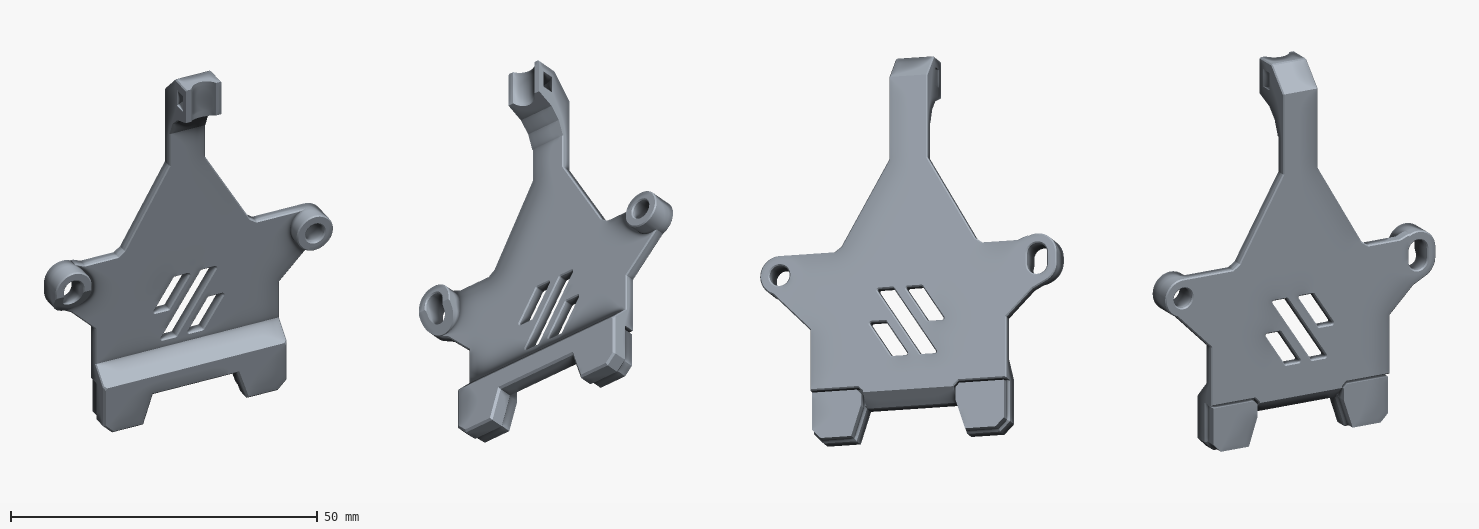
import cadquery as cq
import math


plate_thickness = 1.9
edge_chamfer = 0.2
half_width = 16.7

side_top_z = 18.7
ear_top_z = 31.45
shoulder_y = 12.6
shoulder_break_y = 11.4
shoulder_break_z = 32.3
arm_half_width = 3.25
arm_base_z = 46.4

ear_spacing = 43.84
ear_y = ear_spacing / 2
ear_radius = 3.3
ear_z = ear_top_z - ear_radius
ear_height = 4.6
hole_diameter = 3.4
slot_shift = 0.9
heel_y = 21.1
ramp_foot_z = 23.6
ramp_angle = 60
ear_blend_start_y = 18.6
ear_blend_mid_y = 19.8
ear_blend_mid_z = 31.95
ear_blend_end_y = 20.4
ear_blend_end_z = 32.1

part_height = 64.23
head_depth = 8.0
head_bevel = 4.0
head_bottom_z = 52.5
head_lower_points = [(head_depth, 58.0), (4.8, 56.8), (2.95, 55.0), (plate_thickness, head_bottom_z)]
cable_radius = 2.5
cable_x = 9.1
tie_inner_radius = 3.95
tie_outer_radius = 5.45
tie_bottom_z = 59.55
tie_top_z = 62.55

foot_depth = 5.0
foot_chamfer = 0.35
foot_corner = 1.65
foot_bottom_inner_y = 9.4
neck_y = 7.65
root_z = 5.35
ledge_z = 8.5
ledge_bevel = 0.9
block_top_z = ledge_z + 3.5
seat_chamfer = 0.39
pad_gap = seat_chamfer

mark_z = 19.1
mark_y = 0.25
vent_width = 2.9
vent_lean = 0.656
long_vent_height = 11.4
short_vent_height = 5.9
vent_pitch = 4.9
vent_corner = 0.25


def extrude_yz(points, x_start, depth):
    return cq.Workplane("YZ", origin=(x_start, 0, 0)).polyline(points).close().extrude(depth)


def extrude_xz(points, y_start, y_end):
    return cq.Workplane("XZ", origin=(0, y_end, 0)).polyline(points).close().extrude(y_end - y_start)


def mirror_y(points):
    return [(-y, z) for y, z in reversed(points)]


def ear_shape(y, radius, shift, x_start, depth, taper=0):
    """Round (shift 0) or vertical obround prism centred on an ear."""
    plane = cq.Workplane("YZ", origin=(x_start, y, ear_z))
    if shift == 0:
        return plane.circle(radius).extrude(depth, taper=taper)
    return plane.slot2D(2 * (radius + shift), 2 * radius, 90).extrude(depth, taper=taper)


def vent(center_y, bottom_z, height):
    """Leaning parallelogram cutter; center_y is where its axis crosses mark_z."""
    def axis_y(z):
        return center_y + vent_lean * (z - mark_z)

    half = vent_width / 2
    top_z = bottom_z + height
    points = [
        (axis_y(bottom_z) - half, bottom_z),
        (axis_y(bottom_z) + half, bottom_z),
        (axis_y(top_z) + half, top_z),
        (axis_y(top_z) - half, top_z),
    ]
    return extrude_yz(points, 0, plate_thickness).edges("|X").fillet(vent_corner)


def tangent_point(y, z):
    """Outer point where a line from (y, z) touches the lower arc of the slotted ear."""
    to_center_y = -ear_y - y
    to_center_z = ear_z - slot_shift - z
    distance = math.hypot(to_center_y, to_center_z)
    direction = math.atan2(to_center_z, to_center_y) + math.asin(ear_radius / distance)
    length = math.sqrt(distance**2 - ear_radius**2)
    return y + length * math.cos(direction), z + length * math.sin(direction)


def make_plate():
    ear_line_offset = side_top_z - half_width
    flank_end_y = (ear_y + ear_z - ear_line_offset) / 2
    half = [
        (neck_y, ledge_z - ledge_bevel),
        (neck_y + ledge_bevel, ledge_z),
        (half_width, ledge_z),
        (half_width, side_top_z),
    ]
    top = [
        (shoulder_y, ear_top_z),
        (shoulder_break_y, shoulder_break_z),
        (arm_half_width, arm_base_z),
        (arm_half_width, part_height - head_bevel),
    ]
    round_ear = [
        (flank_end_y, flank_end_y + ear_line_offset),
        (ear_y, ear_z),
        (ear_y, ear_top_z),
    ]
    slot_ear = [
        (-ear_blend_start_y, ear_top_z),
        (-ear_blend_mid_y, ear_blend_mid_z),
        (-ear_blend_end_y, ear_blend_end_z),
        (-ear_y, ear_z),
        tangent_point(-heel_y, heel_y + ear_line_offset),
        (-heel_y, heel_y + ear_line_offset),
    ]
    outline = half + round_ear + top + mirror_y(top) + slot_ear + mirror_y(half)
    plate = extrude_yz(outline, 0, plate_thickness)
    plate = plate.union(ear_shape(ear_y, ear_radius, 0, 0, plate_thickness))
    plate = plate.union(ear_shape(-ear_y, ear_radius, slot_shift, 0, plate_thickness))
    low_z = mark_z - long_vent_height / 2
    high_z = mark_z + long_vent_height / 2 - short_vent_height
    plate = plate.cut(vent(mark_y, low_z, long_vent_height))
    plate = plate.cut(vent(mark_y - vent_pitch, high_z, short_vent_height))
    plate = plate.cut(vent(mark_y + vent_pitch, low_z, short_vent_height))
    return plate.faces("<X or >X").edges().chamfer(edge_chamfer)


def make_boss(y, shift):
    return ear_shape(y, ear_radius, shift, 0, ear_height).faces("<X or >X").edges().chamfer(edge_chamfer)


def make_ramp_cutter():
    rise = (ear_height - plate_thickness) * math.tan(math.radians(ramp_angle))
    points = [
        (plate_thickness, ramp_foot_z),
        (ear_height, ramp_foot_z + rise),
        (ear_height, ear_z - 2 * ear_radius),
        (plate_thickness, ear_z - 2 * ear_radius),
    ]
    return extrude_xz(points, -ear_y - 2 * ear_radius, -ear_y + 2 * ear_radius)


def make_hole(y, shift):
    radius = hole_diameter / 2
    flared = radius + edge_chamfer
    hole = ear_shape(y, radius, shift, 0, ear_height)
    front = ear_shape(y, flared, shift, 0, edge_chamfer, 45)
    back = ear_shape(y, flared, shift, ear_height, -edge_chamfer, 45)
    return hole.union(front).union(back)


def make_head():
    points = [
        (0, head_bottom_z),
        (0, part_height - head_bevel),
        (head_bevel, part_height),
        (head_depth, part_height),
    ]
    head = extrude_xz(points + head_lower_points, -arm_half_width, arm_half_width)
    side_edges = head.faces("<X or >Z").edges("|X or |Z")
    bevel_edges = head.faces("+(-1,0,1)").edges("not(|Y)")
    top_bevel_edge = head.edges("|Y and >Z").edges("<X")
    return side_edges.add(bevel_edges).add(top_bevel_edge).chamfer(edge_chamfer)


def make_cable_groove():
    return (
        cq.Workplane("XY", origin=(cable_x, 0, head_bottom_z))
        .circle(cable_radius)
        .extrude(part_height - head_bottom_z)
    )


def make_tie_channel():
    """Curved cable tie passage, concentric with the cable groove."""
    return (
        cq.Workplane("XY", origin=(cable_x, 0, tie_bottom_z))
        .circle(tie_outer_radius)
        .circle(tie_inner_radius)
        .extrude(tie_top_z - tie_bottom_z)
    )


def foot_outline():
    """Outline of the +Y foot below the plate ledge."""
    return [
        (neck_y, root_z),
        (foot_bottom_inner_y, 0),
        (half_width - foot_corner, 0),
        (half_width, foot_corner),
        (half_width, ledge_z),
        (neck_y + ledge_bevel, ledge_z),
        (neck_y, ledge_z - ledge_bevel),
    ]


def make_foot_block():
    """Thick lower bar with both feet; its top slopes back to the plate."""
    profile = [
        (edge_chamfer, ledge_z + edge_chamfer),
        (plate_thickness, ledge_z),
        (plate_thickness, 0),
        (foot_depth, 0),
        (foot_depth, block_top_z - foot_depth + plate_thickness),
        (plate_thickness, block_top_z),
        (edge_chamfer, block_top_z),
    ]
    below = foot_outline()[:4]
    outline = below + [(half_width, block_top_z), (-half_width, block_top_z)] + mirror_y(below)
    block = extrude_xz(profile, -half_width, half_width)
    block = block.intersect(extrude_yz(outline, 0, foot_depth))
    block = block.faces("+(1,0,1)").edges("not(|Y)").chamfer(edge_chamfer)
    block = block.faces(">X").edges("not(>Z)").chamfer(foot_chamfer)
    seat = cq.selectors.BoxSelector(
        (plate_thickness - edge_chamfer, -2 * half_width, -1),
        (plate_thickness + edge_chamfer, 2 * half_width, ledge_z - edge_chamfer),
    )
    return block.edges(seat).chamfer(seat_chamfer)


def make_sill():
    """Sloped underside joining the plate face to the bar between the feet."""
    profile = [
        (0, ledge_z),
        (0, ledge_z - ledge_bevel),
        (plate_thickness, root_z + seat_chamfer),
        (plate_thickness, ledge_z),
    ]
    return extrude_xz(profile, -neck_y, neck_y)


def make_pad(side):
    """Loose pad seated on the front of one foot; side is +1 or -1 along Y."""
    outline = [(side * y, z) for y, z in foot_outline()]
    return (
        cq.Workplane("YZ")
        .polyline(outline)
        .close()
        .offset2D(-pad_gap, "intersection")
        .extrude(plate_thickness)
    )


bracket = make_plate()
bracket = bracket.union(make_boss(ear_y, 0))
bracket = bracket.union(make_boss(-ear_y, slot_shift).cut(make_ramp_cutter()))
bracket = bracket.cut(make_hole(ear_y, 0)).cut(make_hole(-ear_y, slot_shift))
bracket = bracket.union(make_head()).cut(make_cable_groove()).cut(make_tie_channel())
bracket = bracket.union(make_foot_block()).union(make_sill())

pads = [make_pad(side) for side in (1, -1)]

result = cq.Compound.makeCompound([bracket.val(), *[pad.val() for pad in pads]])